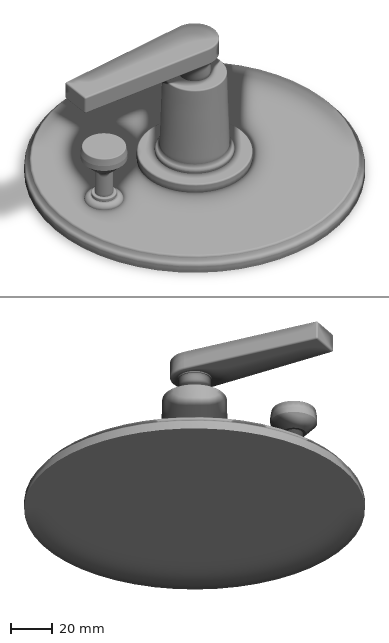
import cadquery as cq
import math

plate_radius = 82.5
plate_rim_height = 3.6
plate_shoulder_radius = 81.5
plate_shoulder_height = 5.1
plate_step_radius = 79.9
plate_step_height = 7.1
plate_thickness = 8.1
plate_top_radius = 78.6
plate_rim_bulge = 0.25
plate_cove_depth = 0.25
plate_step_bulge = 0.3

disc_radius = 28.0
disc_top = 13.0
disc_fillet = 0.8

foot_radius = 19.3
foot_rim_height = 14.4
foot_shoulder_radius = 18.5
foot_shoulder_height = 15.5
foot_rim_bulge = 0.2
foot_flare_depth = 0.3
hub_base_radius = 17.0
hub_base_height = 17.0
hub_top_radius = 15.7
hub_top = 60.3
hub_fillet = 0.7

spindle_radius = 8.0
collar_radius = 8.5
collar_height = 0.7

lever_top = 80.9
lever_thickness = 9.5
lever_bottom = lever_top - lever_thickness
lever_hub_radius = 11.9
lever_reach = 72.3
lever_tip_half_width = 8.1
lever_fillet = 0.8

knob_offset = 54.8
knob_foot_radius = 9.5
knob_foot_top = 10.5
knob_foot_inner_radius = 7.1
knob_foot_bulge = 0.5
knob_collar_radius = 6.1
knob_collar_top = 12.4
knob_collar_fillet = 0.5
knob_stem_radius = 4.5
knob_neck_radius = 6.0
knob_neck_height = 27.2
knob_head_radius = 11.4
knob_head_bottom = 33.0
knob_head_middle = 35.8
knob_crown_radius = 10.7
knob_top = 39.6
knob_fillet = 0.5


def bulge(start, end, sag):
    """Middle of an arc from start to end; a positive sag bows it to the right of that direction."""
    run = end[0] - start[0]
    rise = end[1] - start[1]
    chord = math.hypot(run, rise)
    middle_x = (start[0] + end[0]) / 2
    middle_y = (start[1] + end[1]) / 2
    return (middle_x + sag * rise / chord, middle_y - sag * run / chord)


def cylinder(radius, bottom, top):
    """Vertical cylinder on the Z axis between two heights."""
    return cq.Workplane("XY").workplane(offset=bottom).circle(radius).extrude(top - bottom)


def make_plate():
    rim = (plate_radius, plate_rim_height)
    shoulder = (plate_shoulder_radius, plate_shoulder_height)
    step = (plate_step_radius, plate_step_height)
    top_edge = (plate_top_radius, plate_thickness)
    return (
        cq.Workplane("XZ")
        .lineTo(plate_radius, 0)
        .lineTo(*rim)
        .threePointArc(bulge(rim, shoulder, plate_rim_bulge), shoulder)
        .threePointArc(bulge(shoulder, step, -plate_cove_depth), step)
        .threePointArc(bulge(step, top_edge, plate_step_bulge), top_edge)
        .lineTo(0, plate_thickness)
        .close()
        .revolve(360, (0, 0), (0, 1))
    )


def make_hub():
    rim = (foot_radius, foot_rim_height)
    shoulder = (foot_shoulder_radius, foot_shoulder_height)
    base = (hub_base_radius, hub_base_height)
    return (
        cq.Workplane("XZ")
        .moveTo(0, plate_thickness)
        .lineTo(foot_radius, plate_thickness)
        .lineTo(*rim)
        .threePointArc(bulge(rim, shoulder, foot_rim_bulge), shoulder)
        .threePointArc(bulge(shoulder, base, -foot_flare_depth), base)
        .lineTo(hub_top_radius, hub_top)
        .lineTo(0, hub_top)
        .close()
        .revolve(360, (0, 0), (0, 1))
        .faces(">Z").edges().fillet(hub_fillet)
    )


def make_lever():
    tip = (lever_tip_half_width, -lever_reach)
    tip_distance = math.hypot(*tip)
    tangent_angle = math.atan2(tip[1], tip[0]) + math.acos(lever_hub_radius / tip_distance)
    tangent_x = lever_hub_radius * math.cos(tangent_angle)
    tangent_y = lever_hub_radius * math.sin(tangent_angle)
    return (
        cq.Workplane("XY").workplane(offset=lever_bottom)
        .moveTo(-lever_tip_half_width, -lever_reach)
        .lineTo(*tip)
        .lineTo(tangent_x, tangent_y)
        .threePointArc((0, lever_hub_radius), (-tangent_x, tangent_y))
        .close()
        .extrude(lever_thickness)
        .edges("|Z and <Y").fillet(lever_fillet)
        .faces("<Z or >Z").edges().fillet(lever_fillet)
    )


def make_knob():
    foot_outer = (knob_foot_radius, plate_thickness)
    foot_inner = (knob_foot_inner_radius, knob_foot_top)
    foot = (
        cq.Workplane("XZ")
        .lineTo(knob_foot_radius, 0)
        .lineTo(*foot_outer)
        .threePointArc(bulge(foot_outer, foot_inner, knob_foot_bulge), foot_inner)
        .lineTo(0, knob_foot_top)
        .close()
        .revolve(360, (0, 0), (0, 1))
    )
    collar = cylinder(knob_collar_radius, plate_thickness, knob_collar_top)
    collar = collar.faces(">Z").edges().fillet(knob_collar_fillet)
    stem = cylinder(knob_stem_radius, plate_thickness, knob_neck_height)
    head = (
        cq.Workplane("XZ")
        .moveTo(0, knob_neck_height)
        .lineTo(knob_neck_radius, knob_neck_height)
        .lineTo(knob_head_radius, knob_head_bottom)
        .lineTo(knob_head_radius, knob_head_middle)
        .lineTo(knob_crown_radius, knob_top)
        .lineTo(0, knob_top)
        .close()
        .revolve(360, (0, 0), (0, 1))
        .faces(">Z").edges().fillet(knob_fillet)
    )
    knob = foot.union(collar).union(stem).union(head)
    return knob.translate((0, -knob_offset, 0))


disc = cylinder(disc_radius, 0, disc_top).faces(">Z").edges().fillet(disc_fillet)
spindle = cylinder(spindle_radius, disc_top, lever_bottom + lever_fillet)
spindle_collar = cylinder(collar_radius, lever_bottom - collar_height, lever_bottom + lever_fillet)

result = (
    make_plate()
    .union(disc)
    .union(make_hub())
    .union(spindle)
    .union(spindle_collar)
    .union(make_lever())
    .union(make_knob())
)